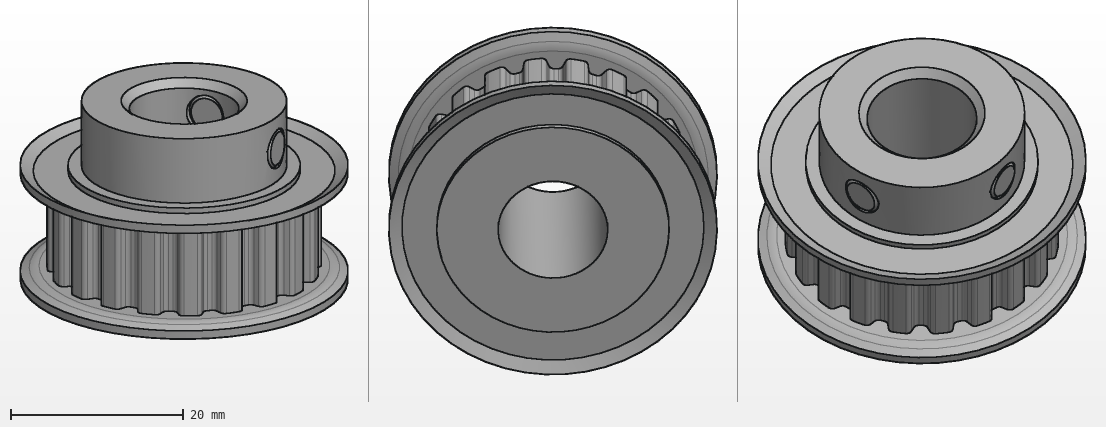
import cadquery as cq
import math


total_height = 22.2
upper_flange_top = 14.25
collar_recess = 0.08
hub_base = upper_flange_top - collar_recess

hub_radius = 11.93
bore_radius = 6.35
bore_chamfer = 0.95

flange_radius = 19.05
rim_thickness = 1.03
dish_radius = 17.53
dish_depth = 0.75
collar_radius = 13.5
lip_flat_radius = 16.88
lip_angle = math.radians(22)
lip_bend_radius = 3.05

tooth_count = 20
tooth_tip_radius = 15.93
groove_depth = 1.4
groove_floor_width = 1.3
groove_wall_angle = math.radians(25)
groove_fillet = 0.6

screw_radius = 2.35
screw_chamfer = 0.4
screw_height = (hub_base + total_height) / 2
screw_angles = (0, 90)


def make_flange():
    """Flange with its outer face at z = 0 and its belt side below."""
    bend_outer_radius = lip_flat_radius + lip_bend_radius * math.sin(lip_angle)
    cone_drop = (flange_radius - bend_outer_radius) * math.tan(lip_angle)
    bend_start = -rim_thickness - cone_drop
    belt_face = bend_start - lip_bend_radius * (1 - math.cos(lip_angle))
    half_angle = lip_angle / 2
    bend_middle = (
        lip_flat_radius + lip_bend_radius * math.sin(half_angle),
        belt_face + lip_bend_radius * (1 - math.cos(half_angle)),
    )
    return (
        cq.Workplane("XZ")
        .moveTo(0, -collar_recess)
        .lineTo(collar_radius, -collar_recess)
        .lineTo(collar_radius, -dish_depth)
        .lineTo(dish_radius, -dish_depth)
        .lineTo(flange_radius, 0)
        .lineTo(flange_radius, -rim_thickness)
        .lineTo(bend_outer_radius, bend_start)
        .threePointArc(bend_middle, (lip_flat_radius, belt_face))
        .lineTo(0, belt_face)
        .close()
        .revolve(360, (0, 0, 0), (0, 1, 0))
    )


def make_toothed_band():
    """Band with trapezoidal belt grooves, rounded at their floors and at the tooth tips."""
    bottom = dish_depth
    height = upper_flange_top - 2 * dish_depth
    band = cq.Workplane("XY").workplane(offset=bottom).circle(tooth_tip_radius).extrude(height)

    floor_radius = tooth_tip_radius - groove_depth
    cutter_depth = 2 * groove_depth
    floor_half = groove_floor_width / 2
    mouth_half = floor_half + cutter_depth * math.tan(groove_wall_angle)
    groove = (
        cq.Workplane("XY")
        .workplane(offset=bottom)
        .polyline([
            (floor_radius, -floor_half),
            (floor_radius + cutter_depth, -mouth_half),
            (floor_radius + cutter_depth, mouth_half),
            (floor_radius, floor_half),
        ])
        .close()
        .extrude(height)
        .edges("|Z and <X")
        .fillet(groove_fillet)
    )
    for index in range(tooth_count):
        band = band.cut(groove.rotate((0, 0, 0), (0, 0, 1), index * 360 / tooth_count))

    tips = [
        edge
        for edge in band.edges("|Z").vals()
        if math.hypot(edge.Center().x, edge.Center().y) > tooth_tip_radius - groove_fillet / 10
    ]
    return band.newObject(tips).fillet(groove_fillet)


def make_bore():
    """Through bore, widened by a chamfer at the hub's top face."""
    return (
        cq.Workplane("XZ")
        .polyline([
            (0, 0),
            (bore_radius, 0),
            (bore_radius, total_height - bore_chamfer),
            (bore_radius + bore_chamfer, total_height),
            (0, total_height),
        ])
        .close()
        .revolve(360, (0, 0, 0), (0, 1, 0))
    )


def make_set_screw():
    """Screw along +X, reaching from the bore surface to the hub surface."""
    return (
        cq.Workplane("YZ", origin=(bore_radius, 0, screw_height))
        .circle(screw_radius)
        .extrude(hub_radius - bore_radius)
        .faces("<X or >X")
        .chamfer(screw_chamfer)
    )


def make_screw_hole():
    """Hole along +X from the pulley axis out through the hub wall."""
    return (
        cq.Workplane("YZ", origin=(0, 0, screw_height))
        .circle(screw_radius)
        .extrude(hub_radius)
    )


upper_flange = make_flange().translate((0, 0, upper_flange_top))
lower_flange = make_flange().mirror("XY")
hub = cq.Workplane("XY").workplane(offset=hub_base).circle(hub_radius).extrude(total_height - hub_base)

result = make_toothed_band().union(upper_flange).union(lower_flange).union(hub).cut(make_bore())

for angle in screw_angles:
    result = result.cut(make_screw_hole().rotate((0, 0, 0), (0, 0, 1), angle))
    result = result.union(make_set_screw().rotate((0, 0, 0), (0, 0, 1), angle))